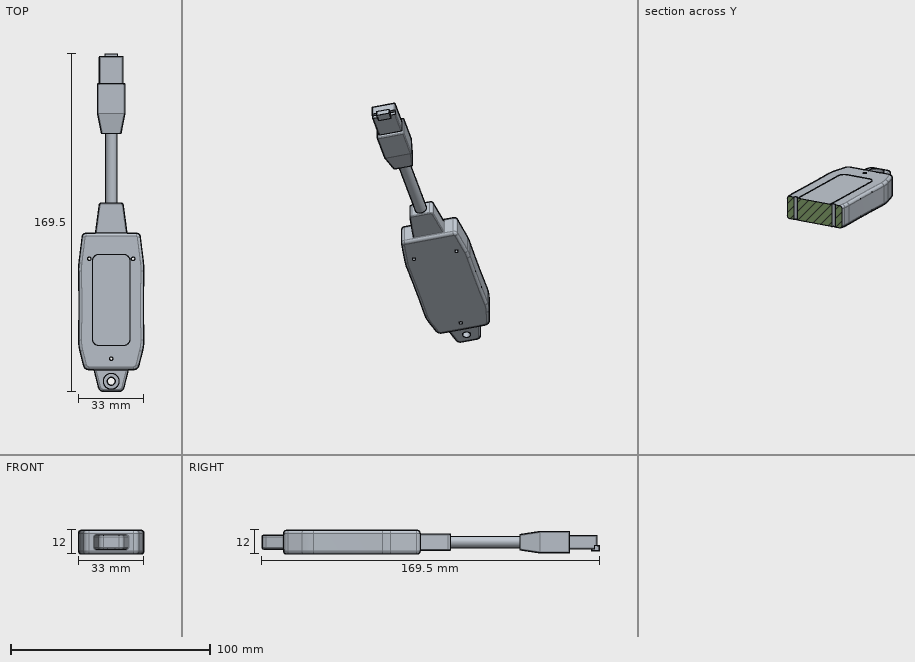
import cadquery as cq

length = 169.5
latch_tip_y = length / 2
tab_end_y = -length / 2
housing_back_y = -5.3
housing_front_y = -73.9

housing_height = 12.0
housing_half_width = 16.5
back_half_width = 14.4
back_taper_end_y = -20.2
back_taper_end_half_width = 16.3
waist_back_y = -24.2
waist_front_y = -59.0
waist_depth = 0.2
back_crest_bulge = 0.07
front_crest_bulge = 0.2
front_taper_start_y = -64.5
front_taper_start_half_width = 15.8
front_half_width = 13.4
back_corner_radius = 2.0
front_corner_radius = 2.9
housing_edge_radius = 1.5

label_width = 19.0
label_back_y = -16.0
label_front_y = -61.7
label_corner_radius = 3.4
label_depth = 0.2

root_radius = 0.25

pin_hole_diameter = 1.7
back_pin_hole_x = 11.0
back_pin_hole_y = -18.1
front_pin_hole_y = -68.3

tab_height = 7.1
tab_root_half_width = 8.6
tab_end_half_width = 6.0
tab_corner_radius = 2.5
tab_edge_radius = 1.0
tab_hole_inset = 5.1
tab_hole_diameter = 3.9
tab_counterbore_diameter = 8.0
tab_counterbore_depth = 2.0

relief_end_y = 10.0
relief_height = 8.3
relief_root_half_width = 8.0
relief_end_half_width = 6.0
relief_corner_radius = 1.5
relief_edge_radius = 0.5

cable_diameter = 6.0

grip_tail_y = 44.7
grip_taper_y = 55.0
grip_front_y = 69.8
grip_half_width = 7.0
grip_tail_half_width = 5.0
grip_half_height = 5.5
grip_tail_half_height = 3.9
plug_edge_radius = 0.5

shell_front_y = 83.5
shell_width = 12.0
shell_height = 7.0
latch_width = 6.5
latch_top_z = -1.7
latch_bottom_z = -4.4
latch_seat_y = 82.2
latch_foot_y = 80.9


def trapezoid_plate(y_wide, half_wide, y_narrow, half_narrow, height):
    """Plate centred on Z = 0 whose width changes evenly along Y."""
    outline = [
        (-half_wide, y_wide),
        (half_wide, y_wide),
        (half_narrow, y_narrow),
        (-half_narrow, y_narrow),
    ]
    return cq.Workplane("XY").polyline(outline).close().extrude(height / 2, both=True)


def block(width, y_start, y_end, z_bottom, z_top):
    """Box centred on X = 0 between the given Y and Z limits."""
    size = (width, y_end - y_start, z_top - z_bottom)
    corner = (-width / 2, y_start, z_bottom)
    return cq.Workplane("XY").box(*size, centered=False).translate(corner)


def make_housing_block():
    """Waisted block with rounded corners and rounded top and bottom edges."""
    half_outline = (
        cq.Workplane("XY")
        .moveTo(0, housing_back_y)
        .lineTo(back_half_width, housing_back_y)
        .lineTo(back_taper_end_half_width, back_taper_end_y)
        .sagittaArc((housing_half_width, waist_back_y), back_crest_bulge)
        .sagittaArc((housing_half_width, waist_front_y), -waist_depth)
        .sagittaArc((front_taper_start_half_width, front_taper_start_y), front_crest_bulge)
        .lineTo(front_half_width, housing_front_y)
        .lineTo(0, housing_front_y)
    )
    block_body = half_outline.mirrorY().extrude(housing_height / 2, both=True)
    block_body = block_body.faces(">Y").edges("|Z").fillet(back_corner_radius)
    block_body = block_body.faces("<Y").edges("|Z").fillet(front_corner_radius)
    return block_body.faces("|Z").edges().fillet(housing_edge_radius)


def make_tab():
    """Tapered hang tab with rounded corners, standing on the front face of the housing."""
    tab = trapezoid_plate(housing_front_y, tab_root_half_width, tab_end_y, tab_end_half_width, tab_height)
    tab = tab.faces("<Y").edges("|Z").fillet(tab_corner_radius)
    return tab.faces("|Z").edges("not >Y").fillet(tab_edge_radius)


def make_tab_hole():
    """Cutter for the counterbored hole of the tab."""
    top = cq.Workplane("XY", origin=(0, tab_end_y + tab_hole_inset, tab_height / 2))
    through_hole = top.circle(tab_hole_diameter / 2).extrude(-tab_height)
    counterbore = top.circle(tab_counterbore_diameter / 2).extrude(-tab_counterbore_depth)
    return through_hole.union(counterbore)


def make_label_recess():
    """Cutter for the shallow rounded recess in the top face."""
    recess_bottom_z = housing_height / 2 - label_depth
    recess = block(label_width, label_front_y, label_back_y, recess_bottom_z, housing_height / 2)
    return recess.edges("|Z").fillet(label_corner_radius)


def make_pin_holes():
    """Cutters for the three small holes through the housing."""
    centres = [
        (-back_pin_hole_x, back_pin_hole_y),
        (back_pin_hole_x, back_pin_hole_y),
        (0, front_pin_hole_y),
    ]
    pattern = cq.Workplane("XY").pushPoints(centres).circle(pin_hole_diameter / 2)
    return pattern.extrude(housing_height / 2, both=True)


def make_strain_relief():
    """Tapered sleeve that stands on the back face of the housing."""
    sleeve = trapezoid_plate(
        housing_back_y, relief_root_half_width, relief_end_y, relief_end_half_width, relief_height
    )
    sleeve = sleeve.faces(">Y").edges("|Z").fillet(relief_corner_radius)
    return sleeve.faces("|Z").edges("not <Y").fillet(relief_edge_radius)


def root_edges(face_y, half_width, height):
    """Selector of the edges where a tab or sleeve meets an end face of the housing."""
    margin = 0.2
    return cq.selectors.BoxSelector(
        (-half_width - margin, face_y - margin, -height / 2 - margin),
        (half_width + margin, face_y + margin, height / 2 + margin),
        boundingbox=True,
    )


def make_housing():
    """Housing with its tab, strain relief, holes and label recess, one solid."""
    body = make_housing_block().union(make_tab()).union(make_strain_relief())
    tab_root = root_edges(housing_front_y, tab_root_half_width, tab_height)
    relief_root = root_edges(housing_back_y, relief_root_half_width, relief_height)
    body = body.edges(tab_root).fillet(root_radius)
    body = body.edges(relief_root).fillet(root_radius)
    return body.cut(make_tab_hole()).cut(make_label_recess()).cut(make_pin_holes())


def grip_section(half_width, half_height):
    """Rounded rectangular cross-section of the grip."""
    return cq.Sketch().rect(2 * half_width, 2 * half_height).vertices().fillet(plug_edge_radius)


def make_grip():
    """Plug grip that narrows towards the cable in both width and height."""
    full_section = grip_section(grip_half_width, grip_half_height)
    tail_section = grip_section(grip_tail_half_width, grip_tail_half_height)
    taper_length = grip_taper_y - grip_tail_y
    taper_start = cq.Workplane("XZ", origin=(0, grip_taper_y, 0))
    straight = taper_start.placeSketch(full_section).extrude(grip_taper_y - grip_front_y)
    straight = straight.faces(">Y").edges().fillet(plug_edge_radius)
    tail_place = cq.Location(cq.Vector(0, 0, taper_length))
    taper = taper_start.placeSketch(full_section, tail_section.moved(tail_place)).loft(ruled=True)
    return straight.union(taper)


def make_shell():
    """Rectangular plug shell with a notched lower front edge that holds the latch."""
    half_height = shell_height / 2
    shell = block(shell_width, grip_front_y, shell_front_y, -half_height, half_height)
    shell = shell.edges("|Y or >Y").fillet(plug_edge_radius)
    notch = block(shell_width, latch_seat_y, shell_front_y, -half_height, latch_top_z)
    latch_nose = block(latch_width, latch_seat_y, latch_tip_y, latch_bottom_z, latch_top_z)
    latch_foot = block(latch_width, latch_foot_y, latch_seat_y, latch_bottom_z, -half_height)
    return shell.cut(notch).union(latch_nose).union(latch_foot)


def make_plug_cable():
    """Cable that starts at the end of the strain relief, with its moulded plug, one solid."""
    cable_start = cq.Workplane("XZ", origin=(0, relief_end_y, 0))
    cable = cable_start.circle(cable_diameter / 2).extrude(relief_end_y - grip_tail_y)
    return cable.union(make_grip()).union(make_shell())


housing = make_housing()
plug_cable = make_plug_cable()

result = cq.Compound.makeCompound([housing.val(), plug_cable.val()])